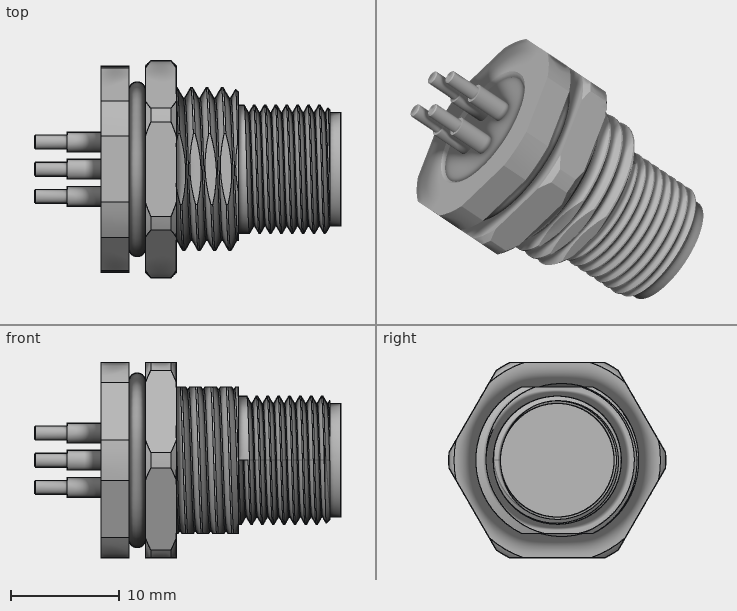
import cadquery as cq
import math


flange_thickness = 2.6
seal_section = 1.5
nut_thickness = 2.85
nut_rear = flange_thickness + seal_section
nut_front = nut_rear + nut_thickness
housing_front = 12.65
shell_thread_front = 21.1
shell_front = 22.1

hexagon_sides = 6
across_flats = 18.0
flange_corner_radius = 9.5
nut_corner_radius = 10.0
nut_chamfer = 0.5

flank_angle = 60.0
plus_y_angle = 90
minus_y_angle = -90
cutter_margin = 0.05

panel_major_radius = 7.5
panel_root_radius = 6.55
panel_pitch = 25.4 / 18
panel_root_flat = 0.15
panel_groove_start = 2.0
panel_turns = 9
panel_end_chamfer = 0.4
panel_flats_width = 13.5

shell_major_radius = 5.9
shell_root_radius = 5.23
shell_pitch = 1.0
shell_root_flat = 0.1
shell_groove_start = housing_front + 0.47
shell_turns = 9
shell_end_chamfer = 0.45

bore_minor_radius = 5.55
bore_root_radius = 6.05
bore_pitch = 1.0
bore_root_flat = 0.1
bore_groove_start = -1.5
bore_turns = 5
bore_mouth_radius = 6.0
bore_mouth_depth = 0.3

insulator_recess = bore_mouth_depth
pin_circle_radius = 2.5
pin_count = 4
pin_tip = -6.1
pin_shoulder = -3.1
pin_tip_radius = 0.65
pin_shoulder_radius = 0.92
pin_tip_chamfer = 0.1


def lay_along_x(body):
    return body.rotate((0, 0, 0), (0, 1, 0), 90)


def cylinder(radius, start, end):
    return cq.Workplane("XY", origin=(0, 0, start)).circle(radius).extrude(end - start)


def helical_vee(base_radius, root_radius, root_flat, pitch, first_centre, turns, start_angle):
    """Right-handed V thread form about Z, from its open base to its flat root.

    It begins centred on first_centre, start_angle from local +X, and is built turn by turn.
    """
    half_root = root_flat / 2
    flank_run = abs(base_radius - root_radius) * math.tan(math.radians(flank_angle / 2))
    half_base = half_root + flank_run
    corners = [
        (base_radius, -half_base),
        (root_radius, -half_root),
        (root_radius, half_root),
        (base_radius, half_base),
    ]
    faces = []
    for turn in range(turns):
        edges = []
        for radius, offset in corners:
            helix = cq.Wire.makeHelix(pitch, pitch, radius)
            edges.append(helix.translate(cq.Vector(0, 0, offset + turn * pitch)).Edges()[0])
        for index in range(len(edges)):
            faces.append(cq.Face.makeRuledSurface(edges[index - 1], edges[index]))
        if turn == 0:
            faces.append(polygon_face([edge.startPoint() for edge in edges]))
    faces.append(polygon_face([edge.endPoint() for edge in edges]))
    form = cq.Solid.makeSolid(cq.Shell.makeShell(faces)).fix()
    turned = cq.Workplane(form).rotate((0, 0, 0), (0, 0, 1), start_angle)
    return turned.translate((0, 0, first_centre))


def polygon_face(points):
    return cq.Face.makeFromWires(cq.Wire.makePolygon(points, close=True))


def hexagon(turned, start, end):
    """Turned blank milled to a hexagon with flats on +Z and -Z and corners on +Y and -Y."""
    corner_diameter = across_flats / math.cos(math.pi / hexagon_sides)
    prism = (
        cq.Workplane("XY", origin=(0, 0, start))
        .transformed(rotate=(0, 0, plus_y_angle))
        .polygon(hexagon_sides, corner_diameter)
        .extrude(end - start)
    )
    return prism.intersect(turned)


def panel_thread():
    """Threaded rod shared by the housing and the nut, from the nut's rear to the housing front."""
    blank = cylinder(panel_major_radius, nut_rear, housing_front).faces(">Z").chamfer(panel_end_chamfer)
    groove = helical_vee(
        panel_major_radius + cutter_margin,
        panel_root_radius,
        panel_root_flat,
        panel_pitch,
        panel_groove_start,
        panel_turns,
        plus_y_angle,
    )
    return blank.cut(groove)


def threaded_bore():
    """Solid that fills the threaded rear bore, from its open mouth to the flange front."""
    core = cylinder(bore_minor_radius, 0, flange_thickness)
    ridge = helical_vee(
        bore_minor_radius - cutter_margin,
        bore_root_radius,
        bore_root_flat,
        bore_pitch,
        bore_groove_start,
        bore_turns,
        plus_y_angle,
    )
    ridge = ridge.intersect(cylinder(across_flats, 0, flange_thickness))
    mouth = cq.Workplane(cq.Solid.makeCone(bore_mouth_radius, bore_minor_radius, bore_mouth_depth))
    return core.union(ridge).union(mouth)


def make_housing(thread, bore):
    turned = cylinder(flange_corner_radius, 0, flange_thickness)
    flange = hexagon(turned, 0, flange_thickness)
    flats = (
        cq.Workplane("XY", origin=(0, 0, nut_rear))
        .rect(panel_flats_width, 2 * across_flats)
        .extrude(housing_front - nut_rear)
    )
    seal_seat = cylinder(panel_root_radius, flange_thickness, nut_rear)
    shell_seat = cylinder(shell_major_radius, flange_thickness, housing_front)
    outside = flange.union(seal_seat).union(thread.intersect(flats))
    return outside.cut(shell_seat).cut(bore)


def make_insulator(bore):
    body = bore.intersect(cylinder(across_flats, insulator_recess, flange_thickness))
    for pin in make_pins():
        body = body.cut(pin)
    return body


def make_nut(thread):
    turned = cylinder(nut_corner_radius, nut_rear, nut_front).faces("<Z or >Z").chamfer(nut_chamfer)
    return hexagon(turned, nut_rear, nut_front).cut(thread)


def make_seal():
    ring_radius = panel_root_radius + seal_section / 2
    centre = flange_thickness + seal_section / 2
    return cq.Workplane(cq.Solid.makeTorus(ring_radius, seal_section / 2, cq.Vector(0, 0, centre)))


def make_shell():
    thread = (
        cylinder(shell_major_radius, housing_front, shell_thread_front)
        .faces(">Z")
        .chamfer(shell_end_chamfer)
    )
    groove = helical_vee(
        shell_major_radius + cutter_margin,
        shell_root_radius,
        shell_root_flat,
        shell_pitch,
        shell_groove_start,
        shell_turns,
        minus_y_angle,
    )
    shank = cylinder(shell_major_radius, flange_thickness, housing_front)
    tip = cylinder(shell_root_radius, shell_thread_front, shell_front)
    return thread.cut(groove).union(shank).union(tip)


def make_pins():
    pin = (
        cylinder(pin_tip_radius, pin_tip, pin_shoulder)
        .faces("<Z")
        .chamfer(pin_tip_chamfer)
        .union(cylinder(pin_shoulder_radius, pin_shoulder, flange_thickness))
    )
    pins = []
    for index in range(pin_count):
        placed = pin.translate((pin_circle_radius, 0, 0))
        pins.append(placed.rotate((0, 0, 0), (0, 0, 1), index * 360 / pin_count))
    return pins


panel_rod = panel_thread()
bore_form = threaded_bore()
bodies = [
    make_housing(panel_rod, bore_form),
    make_nut(panel_rod),
    make_seal(),
    make_shell(),
    make_insulator(bore_form),
    *make_pins(),
]
result = cq.Compound.makeCompound([lay_along_x(body).val() for body in bodies])